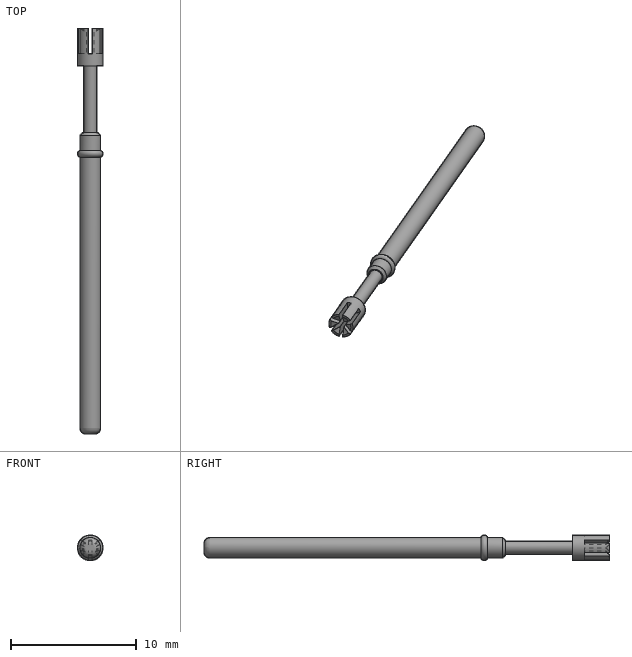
import cadquery as cq

total_length = 32.3

head_diameter = 2.05
head_length = 2.97
recess_diameter = 1.68
recess_depth = 0.45
slot_width = 0.3
slot_depth = 2.0
slot_count = 3

stem_diameter = 1.05

barrel_diameter = 1.65
mouth_from_end = 8.3
mouth_diameter = 1.23
mouth_length = 0.23
collar_diameter = head_diameter
collar_center_from_end = 9.98
collar_width = 0.55
tail_radius = 0.5

head_radius = head_diameter / 2
stem_radius = stem_diameter / 2
barrel_radius = barrel_diameter / 2
mouth_radius = mouth_diameter / 2
collar_radius = collar_diameter / 2
recess_radius = recess_diameter / 2

head_y = total_length - head_length
mouth_y = total_length - mouth_from_end
collar_y = total_length - collar_center_from_end


def turned_body():
    """Revolve the half profile (radius along X) about the Y axis."""
    profile = (
        cq.Workplane("XY")
        .moveTo(0, 0)
        .lineTo(barrel_radius - tail_radius, 0)
        .radiusArc((barrel_radius, tail_radius), -tail_radius)
        .lineTo(barrel_radius, collar_y - collar_width / 2)
        .threePointArc((collar_radius, collar_y), (barrel_radius, collar_y + collar_width / 2))
        .lineTo(barrel_radius, mouth_y - mouth_length)
        .lineTo(mouth_radius, mouth_y)
        .lineTo(stem_radius, mouth_y)
        .lineTo(stem_radius, head_y)
        .lineTo(head_radius, head_y)
        .lineTo(head_radius, total_length)
        .lineTo(recess_radius, total_length)
        .lineTo(0, total_length - recess_depth)
        .close()
    )
    return profile.revolve(360, (0, 0, 0), (0, 1, 0))


def head_slot(angle):
    """Slot across the full head, turned about the Y axis by the given angle."""
    slot = cq.Workplane("XY").box(slot_width, slot_depth, head_diameter)
    slot = slot.translate((0, total_length - slot_depth / 2, 0))
    return slot.rotate((0, 0, 0), (0, 1, 0), angle)


result = turned_body()
for index in range(slot_count):
    result = result.cut(head_slot(index * 180 / slot_count))